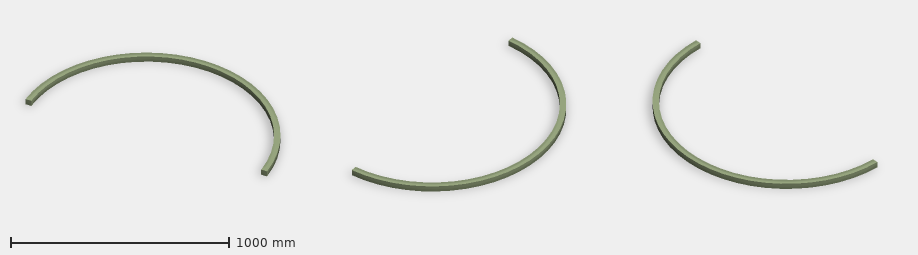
import cadquery as cq

outer_radius = 615.0
bar_size = 30.0
inner_radius = outer_radius - bar_size

profile = (
    cq.Workplane("XY")
    .moveTo(outer_radius, 0)
    .threePointArc((0, outer_radius), (-outer_radius, 0))
    .lineTo(-inner_radius, 0)
    .threePointArc((0, inner_radius), (inner_radius, 0))
    .close()
)

result = profile.extrude(bar_size)